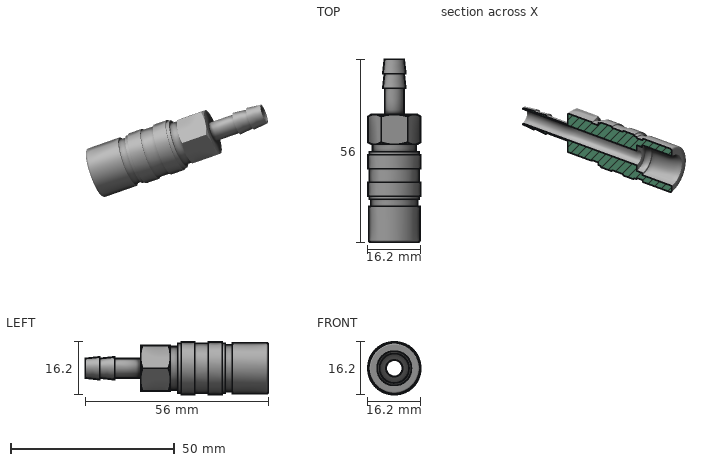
import cadquery as cq
import math

length = 56.0

sleeve_diameter = 15.75
sleeve_end = 11.0
mouth_fillet = 0.7
front_neck_diameter = 14.45
collar_diameter = 15.35
collar_start = 13.15
collar_end = 27.7
ring_diameter = 16.2
ring_width = 4.2
ring_inset = 1.0
rear_neck_diameter = 13.45

hex_start = 29.95
hex_end = 39.1
hex_across_flats = 14.0
hex_chamfer_angle = 30.0

stem_diameter = 6.0
barb_diameter = 7.05
barb_tip_diameter = 6.05
barb_length = 4.5
barb_count = 2

through_diameter = 5.0
socket_diameter = 10.5
socket_depth = sleeve_end
seat_diameter = 9.0
seat_depth = collar_start


def cylinder(diameter, start, end):
    """Cylinder on the Y axis between two Y positions."""
    plane = cq.Workplane("XZ", origin=(0, start, 0))
    return plane.circle(diameter / 2).extrude(start - end)


def revolve_profile(points):
    """Solid of revolution about Y from (radius, Y) points."""
    return cq.Workplane("XY").polyline(points).close().revolve(360, (0, 0), (0, 1))


def hexagon():
    """Hexagonal nut whose corners are turned down conically at both ends."""
    flat_radius = hex_across_flats / 2
    corner_radius = flat_radius / math.cos(math.pi / 6)
    plane = cq.Workplane("XZ", origin=(0, hex_start, 0))
    prism = plane.polygon(6, 2 * corner_radius).extrude(hex_start - hex_end)
    chamfer = (corner_radius - flat_radius) * math.tan(math.radians(hex_chamfer_angle))
    envelope = revolve_profile([
        (0, hex_start),
        (flat_radius, hex_start),
        (corner_radius, hex_start + chamfer),
        (corner_radius, hex_end - chamfer),
        (flat_radius, hex_end),
        (0, hex_end),
    ])
    return prism.intersect(envelope)


def barb(end):
    """Conical barb that narrows toward the hose tip."""
    start = end - barb_length
    return revolve_profile([
        (0, start),
        (barb_diameter / 2, start),
        (barb_tip_diameter / 2, end),
        (0, end),
    ])


body = cylinder(sleeve_diameter, 0, sleeve_end).faces("<Y").edges().fillet(mouth_fillet)
body = body.union(cylinder(front_neck_diameter, sleeve_end, collar_start))
body = body.union(cylinder(collar_diameter, collar_start, collar_end))
body = body.union(cylinder(rear_neck_diameter, collar_end, hex_start))

for ring_start in (collar_start + ring_inset, collar_end - ring_inset - ring_width):
    body = body.union(cylinder(ring_diameter, ring_start, ring_start + ring_width))

body = body.union(hexagon())
body = body.union(cylinder(stem_diameter, hex_end, length))
for index in range(barb_count):
    body = body.union(barb(length - index * barb_length))

body = body.cut(cylinder(socket_diameter, 0, socket_depth))
body = body.cut(cylinder(seat_diameter, socket_depth, seat_depth))
result = body.cut(cylinder(through_diameter, seat_depth, length))